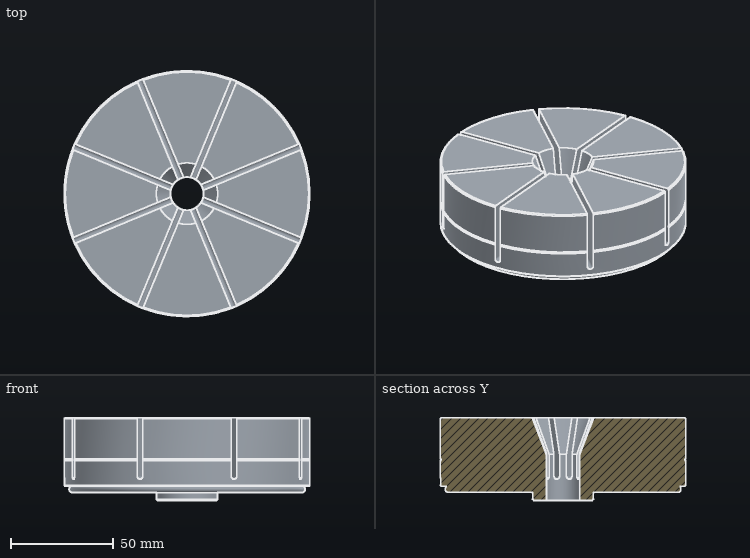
import cadquery as cq
import math

outer_dia = 120.0
total_height = 40.5
outer_radius = outer_dia / 2

hub_dia = 30.0
hub_height = 4.0
hub_chamfer = 0.7

lip_dia = 115.5
lip_height = 3.4
lip_seat = 0.4
lip_top = hub_height + lip_height

body_bottom = lip_top - lip_seat
top_edge_chamfer = 0.6
bottom_edge_chamfer = 0.5

groove_distance_from_top = 20.5
groove_width = 1.0
groove_depth = 0.4

bore_dia = 16.1
mouth_dia = 30.0
mouth_depth = 18.0

slot_count = 8
slot_width = 3.0
slot_depth = 30.0
slot_step_angle = 360 / slot_count
first_slot_angle = slot_step_angle / 2


def disc(diameter, bottom, top):
    return cq.Workplane("XY").workplane(offset=bottom).circle(diameter / 2).extrude(top - bottom)


def make_body():
    body = disc(outer_dia, body_bottom, total_height)
    body = body.faces(">Z").edges().chamfer(top_edge_chamfer)
    return body.faces("<Z").edges().chamfer(bottom_edge_chamfer)


def make_lip():
    """Disc with a fully rounded rim, built from two quarter rounds that meet at mid height."""
    lip_radius = lip_dia / 2
    rim_radius = lip_height / 2
    rim_center_r = lip_radius - rim_radius
    rim_center_z = hub_height + rim_radius
    diagonal = rim_radius * math.sqrt(0.5)
    return (
        cq.Workplane("XZ")
        .moveTo(0, hub_height)
        .lineTo(rim_center_r, hub_height)
        .threePointArc((rim_center_r + diagonal, rim_center_z - diagonal), (lip_radius, rim_center_z))
        .threePointArc((rim_center_r + diagonal, rim_center_z + diagonal), (rim_center_r, lip_top))
        .lineTo(0, lip_top)
        .close()
        .revolve()
    )


def make_hub():
    hub = disc(hub_dia, 0, lip_top)
    return hub.faces("<Z").edges().chamfer(hub_chamfer)


def make_groove():
    """V-shaped ring to be cut from the outer wall."""
    groove_z = total_height - groove_distance_from_top
    return (
        cq.Workplane("XZ")
        .moveTo(outer_radius, groove_z - groove_width / 2)
        .lineTo(outer_radius - groove_depth, groove_z)
        .lineTo(outer_radius, groove_z + groove_width / 2)
        .close()
        .revolve()
    )


def make_bore():
    """Through hole that opens into a cone at the top."""
    bore_radius = bore_dia / 2
    return (
        cq.Workplane("XZ")
        .lineTo(bore_radius, 0)
        .lineTo(bore_radius, total_height - mouth_depth)
        .lineTo(mouth_dia / 2, total_height)
        .lineTo(0, total_height)
        .close()
        .revolve()
    )


def make_slot(angle):
    """Slot running from the central axis past the outer wall, at the given angle from +X."""
    slot_radius = slot_width / 2
    slot_bottom = total_height - slot_depth
    arc_center_z = slot_bottom + slot_radius
    return (
        cq.Workplane("YZ")
        .moveTo(-slot_radius, total_height)
        .lineTo(-slot_radius, arc_center_z)
        .threePointArc((0, slot_bottom), (slot_radius, arc_center_z))
        .lineTo(slot_radius, total_height)
        .close()
        .extrude(outer_dia)
        .rotate((0, 0, 0), (0, 0, 1), angle)
    )


result = make_body().union(make_lip()).union(make_hub())
result = result.cut(make_groove()).cut(make_bore())
for index in range(slot_count):
    result = result.cut(make_slot(first_slot_angle + index * slot_step_angle))